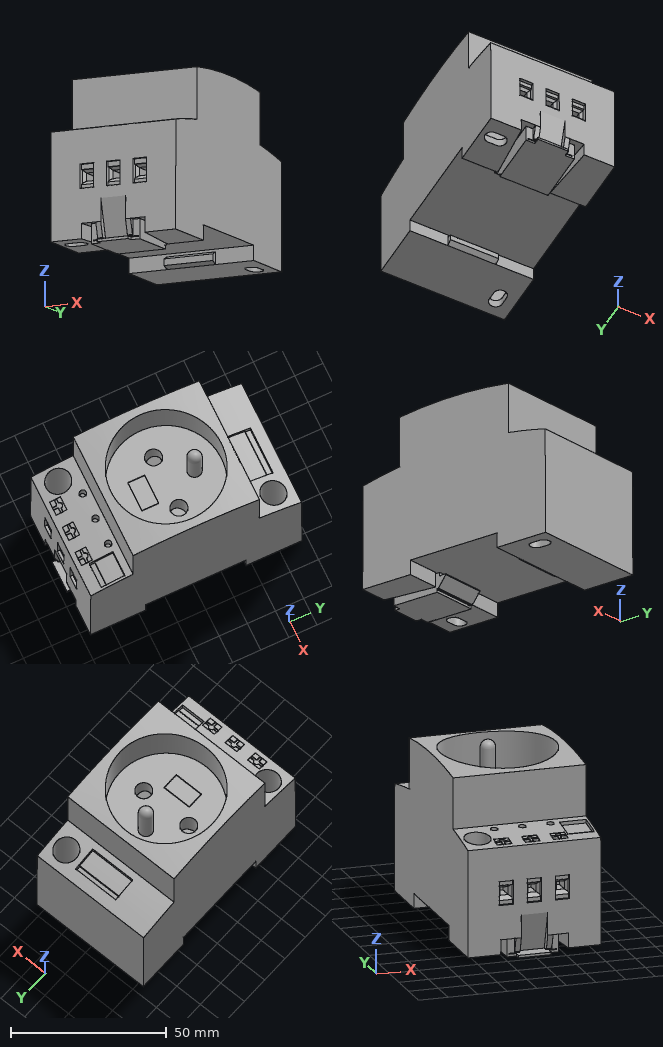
import cadquery as cq
import math


WIDTH = 45.0
HALF_LENGTH = 37.6
HALF_LENGTH_TOP = 37.45
HEAD_HALF_LENGTH = 22.4
CROWN_RADIUS = 169.8
HEAD_APEX = 57.6
SHOULDER_APEX = 40.3

RAIL_FRONT = -17.9
RAIL_REAR = 17.7
RAIL_DEPTH = 5.05
REAR_HOOK_Y = 15.8
REAR_HOOK_ROOT_TOP = 4.15
REAR_HOOK_TIP_TOP = 3.2
REAR_HOOK_TIP_BOTTOM = 1.0
FRONT_HOOK_TIP_Y = -14.35
FRONT_HOOK_NECK_Y = -16.8
FRONT_HOOK_TIP_TOP = 3.9
FRONT_HOOK_TIP_BOTTOM = 3.6
FRONT_HOOK_HEEL_Y = -17.35
FRONT_HOOK_HEEL_Z = -0.3

SOCKET_DIAMETER = 39.1
SOCKET_FLOOR = 42.6
PIN_DIAMETER = 5.0
PIN_TOP = 57.0
PIN_Y = 10.05
CONTACT_DIAMETER = 5.7
CONTACT_X = 9.5
CONTACT_DEPTH = 7.55
SHUTTER_TILT = 30
PLATE_SIZE = (10.6, 6.0)
PLATE_Y = -8.15
PLATE_DEPTH = 0.4

MOUNT_DIAMETER = 8.7
MOUNT_FLANGE = 3
MOUNT_Y = 30.35
MOUNT_FRONT_X = -16.9
MOUNT_REAR_X = 16.2
SLOT_LENGTH = 7.6
SLOT_WIDTH = 4.7

MARKER_INNER = 24.9
MARKER_RIDGE = 28.4
MARKER_STEP = 31.3
MARKER_OUTER = 33.3
MARKER_DEPTH = 1.2
MARKER_GROOVE_DEPTH = 1.9
MARKER_FRONT_X = (12.6, 21.6)
MARKER_REAR_X = (-7.2, 9.7)

TERMINAL_PITCH = 9.5
PROBE_DIAMETER = 2.35
PROBE_Y = -25.1
PROBE_BOTTOM = 34.7
PROBE_BOTTOM_RADIUS = 1.5
SCREW_Y = -33.8
SCREW_SIZE = (4.9, 3.8)
SCREW_RELIEF = 0.1
SCREW_RECESS = 0.6
SCREW_HEAD_Y = -33.35
SCREW_HEAD_RADIUS = 1.0
SCREW_BAND_Y = -33.7
SCREW_BAND_WIDTH = 0.75
SCREW_STEM_WIDTH = 0.8
ENTRY_WIDTH = 4.75
ENTRY_BOTTOM = 16.6
ENTRY_TOP = 24.6
ENTRY_DEPTH = 1.05
FUNNEL_BOTTOM = 18.0
FUNNEL_TOP = 22.95
FUNNEL_START = 1.7
FUNNEL_END = 2.5
BORE_WIDTH = 2.7
BORE_BOTTOM = 19.25
BORE_TOP = 22.0
BORE_DEPTH = 7.55

NOTCH_FRONT_HALF = 11.4
NOTCH_REAR_HALF = 9.5
LATCH_HALF = 8.75
LATCH_FRONT = -35.8
LATCH_BOTTOM = -1.6
LIP_TOP = -0.7
LIP_TIP = -37.9
LIP_HALF = 5.6
NOSE_HALF = 6.3
GAP_HALF = 8.0
GAP_TOP = -0.4
GRIP_HALF = 4.45
GRIP_TOP = 12.8
GRIP_ANGLE = 15


def arc_z(apex, y):
    """Height at y of a crown arc that peaks at apex."""
    return apex - CROWN_RADIUS + math.sqrt(CROWN_RADIUS**2 - y**2)


def prism_x(outline, x_min, x_max):
    """Extrude a closed (y, z) outline along X."""
    return cq.Workplane("YZ").workplane(offset=x_min).polyline(outline).close().extrude(x_max - x_min)


def block(x_range, y_range, z_range):
    """Box between the given limits."""
    size = [high - low for low, high in (x_range, y_range, z_range)]
    corner = (x_range[0], y_range[0], z_range[0])
    return cq.Workplane("XY").box(*size, centered=False).translate(corner)


def upright(x, y, z, diameter, height):
    """Vertical cylinder standing on (x, y, z)."""
    return cq.Workplane("XY").workplane(offset=z).center(x, y).circle(diameter / 2).extrude(height)


def below_shoulder(depth):
    """Cylinder along X that lies the given depth under the shoulder surfaces."""
    axis_z = SHOULDER_APEX - CROWN_RADIUS
    axis = cq.Workplane("YZ").workplane(offset=-WIDTH / 2).center(0, axis_z)
    return axis.circle(CROWN_RADIUS - depth).extrude(WIDTH)


def make_housing():
    """Side profile with arched shoulders, raised head and rail recess, extruded across the width."""
    edge_z = arc_z(SHOULDER_APEX, HALF_LENGTH_TOP)
    inner_z = arc_z(SHOULDER_APEX, HEAD_HALF_LENGTH)
    head_z = arc_z(HEAD_APEX, HEAD_HALF_LENGTH)
    middle_y = (HALF_LENGTH_TOP + HEAD_HALF_LENGTH) / 2
    middle_z = arc_z(SHOULDER_APEX, middle_y)
    return (
        cq.Workplane("YZ")
        .workplane(offset=-WIDTH / 2)
        .moveTo(-HALF_LENGTH, 0)
        .lineTo(-HALF_LENGTH_TOP, edge_z)
        .threePointArc((-middle_y, middle_z), (-HEAD_HALF_LENGTH, inner_z))
        .lineTo(-HEAD_HALF_LENGTH, head_z)
        .threePointArc((0, HEAD_APEX), (HEAD_HALF_LENGTH, head_z))
        .lineTo(HEAD_HALF_LENGTH, inner_z)
        .threePointArc((middle_y, middle_z), (HALF_LENGTH_TOP, edge_z))
        .lineTo(HALF_LENGTH, 0)
        .lineTo(RAIL_REAR, 0)
        .lineTo(RAIL_REAR, RAIL_DEPTH)
        .lineTo(RAIL_FRONT, RAIL_DEPTH)
        .lineTo(RAIL_FRONT, 0)
        .close()
        .extrude(WIDTH)
    )


def cut_socket(body):
    """Round socket well with contact holes, a rectangular plate recess and the earth pin."""
    body = body.cut(upright(0, 0, SOCKET_FLOOR, SOCKET_DIAMETER, HEAD_APEX))
    for side in (-1, 1):
        hole = upright(side * CONTACT_X, 0, 0, CONTACT_DIAMETER, SOCKET_FLOOR)
        shutter_z = SOCKET_FLOOR - CONTACT_DEPTH
        shutter = cq.Workplane("XY").box(WIDTH, WIDTH, SOCKET_FLOOR, centered=(True, True, False))
        shutter = shutter.rotate((0, 0, 0), (1, 0, 0), -side * SHUTTER_TILT).translate((0, 0, shutter_z))
        body = body.cut(hole.intersect(shutter))
    plate = cq.Workplane("XY").workplane(offset=SOCKET_FLOOR).center(0, PLATE_Y).rect(*PLATE_SIZE)
    body = body.cut(plate.extrude(-PLATE_DEPTH))
    pin_radius = PIN_DIAMETER / 2
    shank_top = PIN_TOP - pin_radius
    shank = upright(0, PIN_Y, SOCKET_FLOOR, PIN_DIAMETER, shank_top - SOCKET_FLOOR)
    tip = cq.Workplane("XY").sphere(pin_radius).translate((0, PIN_Y, shank_top))
    return body.union(shank.union(tip))


def cut_mounting_hole(body, x, y, slot_angle):
    """Deep counterbore over a slot through the flange that is left at the underside."""
    body = body.cut(upright(x, y, MOUNT_FLANGE, MOUNT_DIAMETER, HEAD_APEX))
    slot = cq.Workplane("XY").center(x, y).slot2D(SLOT_LENGTH, SLOT_WIDTH, slot_angle)
    return body.cut(slot.extrude(MOUNT_FLANGE))


def marker_window(end, x_range):
    """Label pocket in the rear (end = 1) or front (end = -1) shoulder, with a groove at its outer edge."""
    outline = [(end * MARKER_INNER, HEAD_APEX)]
    for y in (MARKER_INNER, MARKER_RIDGE, MARKER_STEP):
        outline.append((end * y, arc_z(SHOULDER_APEX, y) - MARKER_DEPTH))
    for y in (MARKER_STEP, MARKER_OUTER):
        outline.append((end * y, arc_z(SHOULDER_APEX, y) - MARKER_GROOVE_DEPTH))
    outline.append((end * MARKER_OUTER, HEAD_APEX))
    return prism_x(outline, *x_range)


def probe_hole(x):
    """Test-probe hole that ends on a trough running along Y."""
    hole = upright(x, PROBE_Y, 0, PROBE_DIAMETER, SHOULDER_APEX)
    axis_z = PROBE_BOTTOM + PROBE_BOTTOM_RADIUS
    trough = cq.Workplane("XZ").center(x, axis_z).circle(PROBE_BOTTOM_RADIUS).extrude(HALF_LENGTH)
    above = block((x - PROBE_DIAMETER, x + PROBE_DIAMETER), (-HALF_LENGTH, 0), (axis_z, SHOULDER_APEX))
    return hole.intersect(trough.union(above))


def screw_window(x):
    """Shallow window with a deeper figure in it: a round screw head, a cross band and a stem."""
    width, length = SCREW_SIZE
    front = SCREW_Y - length / 2
    sides = (x - width / 2, x + width / 2)
    z_range = (0, SHOULDER_APEX)
    window = block(sides, (front, front + length), z_range).cut(below_shoulder(SCREW_RELIEF))
    band_sides = (SCREW_BAND_Y - SCREW_BAND_WIDTH / 2, SCREW_BAND_Y + SCREW_BAND_WIDTH / 2)
    stem_sides = (x - SCREW_STEM_WIDTH / 2, x + SCREW_STEM_WIDTH / 2)
    figure = (
        upright(x, SCREW_HEAD_Y, 0, 2 * SCREW_HEAD_RADIUS, SHOULDER_APEX)
        .union(block(sides, band_sides, z_range))
        .union(block(stem_sides, (front, SCREW_BAND_Y), z_range))
        .cut(below_shoulder(SCREW_RECESS))
    )
    return window.union(figure)


def wire_entry(x):
    """Stepped rectangular entry in the front end, narrowing through a funnel to a square bore."""
    front = -HALF_LENGTH
    half = ENTRY_WIDTH / 2
    step_y = front + ENTRY_DEPTH
    start_y = front + FUNNEL_START
    end_y = front + FUNNEL_END
    floor_slope = (BORE_BOTTOM - FUNNEL_BOTTOM) / (FUNNEL_END - ENTRY_DEPTH)
    ramp_top = FUNNEL_BOTTOM + floor_slope * (FUNNEL_START - ENTRY_DEPTH)
    entry = block((x - half, x + half), (front, step_y), (ENTRY_BOTTOM, ENTRY_TOP))
    ramp = prism_x(
        [(step_y, FUNNEL_BOTTOM), (start_y, ramp_top), (start_y, FUNNEL_TOP), (step_y, FUNNEL_TOP)],
        x - half,
        x + half,
    )
    bore_z = (BORE_BOTTOM + BORE_TOP) / 2
    bore_height = BORE_TOP - BORE_BOTTOM
    funnel = (
        cq.Workplane("XZ", origin=(x, start_y, (ramp_top + FUNNEL_TOP) / 2))
        .rect(ENTRY_WIDTH, FUNNEL_TOP - ramp_top)
        .workplane(offset=start_y - end_y)
        .center(0, bore_z - (ramp_top + FUNNEL_TOP) / 2)
        .rect(BORE_WIDTH, bore_height)
        .loft(ruled=True)
    )
    bore_sides = (x - BORE_WIDTH / 2, x + BORE_WIDTH / 2)
    bore = block(bore_sides, (end_y, front + BORE_DEPTH), (BORE_BOTTOM, BORE_TOP))
    return entry.union(ramp).union(funnel).union(bore).clean()


def grip_wedge(half_width, front, top):
    """Cutter under a face that starts at (front, top) and leans inwards going down to the lip."""
    height = top - LIP_TOP
    depth = height * math.tan(math.radians(GRIP_ANGLE))
    outline = [(front, top), (front + depth, LIP_TOP), (LIP_TIP, LIP_TOP), (LIP_TIP, top)]
    return prism_x(outline, -half_width, half_width)


def make_latch():
    """Slide with the front rail hook, a nose at its front end and a pull lip below the nose."""
    slide = block((-LATCH_HALF, LATCH_HALF), (LATCH_FRONT, RAIL_FRONT), (LATCH_BOTTOM, RAIL_DEPTH))
    hook = prism_x(
        [
            (RAIL_FRONT, RAIL_DEPTH),
            (FRONT_HOOK_NECK_Y, RAIL_DEPTH),
            (FRONT_HOOK_NECK_Y, FRONT_HOOK_TIP_TOP),
            (FRONT_HOOK_TIP_Y, FRONT_HOOK_TIP_TOP),
            (FRONT_HOOK_TIP_Y, FRONT_HOOK_TIP_BOTTOM),
            (FRONT_HOOK_HEEL_Y, FRONT_HOOK_HEEL_Z),
            (RAIL_FRONT, FRONT_HOOK_HEEL_Z),
        ],
        -LATCH_HALF,
        LATCH_HALF,
    )
    nose = block((-NOSE_HALF, NOSE_HALF), (-HALF_LENGTH, LATCH_FRONT), (0, RAIL_DEPTH))
    lip = block((-LIP_HALF, LIP_HALF), (LIP_TIP, LATCH_FRONT), (LATCH_BOTTOM, LIP_TOP))
    gap = block((-GAP_HALF, GAP_HALF), (LATCH_FRONT, RAIL_FRONT), (LIP_TOP, GAP_TOP))
    return slide.union(nose).union(lip).cut(gap).union(hook)


def latch_notch():
    """Opening for the latch, narrowing from the front end to the rail recess."""
    outline = [
        (-NOTCH_FRONT_HALF, -HALF_LENGTH),
        (NOTCH_FRONT_HALF, -HALF_LENGTH),
        (NOTCH_REAR_HALF, RAIL_FRONT),
        (-NOTCH_REAR_HALF, RAIL_FRONT),
    ]
    return cq.Workplane("XY").polyline(outline).close().extrude(RAIL_DEPTH)


def rear_hook():
    """Fixed hook on the rear wall of the rail recess."""
    outline = [
        (RAIL_REAR, REAR_HOOK_ROOT_TOP),
        (REAR_HOOK_Y, REAR_HOOK_TIP_TOP),
        (REAR_HOOK_Y, REAR_HOOK_TIP_BOTTOM),
        (RAIL_REAR, 0),
    ]
    return prism_x(outline, -LATCH_HALF, LATCH_HALF)


body = cut_socket(make_housing())
body = cut_mounting_hole(body, MOUNT_FRONT_X, -MOUNT_Y, 0)
body = cut_mounting_hole(body, MOUNT_REAR_X, MOUNT_Y, 90)
body = body.cut(marker_window(-1, MARKER_FRONT_X))
body = body.cut(marker_window(1, MARKER_REAR_X))
for position in (-1, 0, 1):
    terminal_x = position * TERMINAL_PITCH
    body = body.cut(probe_hole(terminal_x))
    body = body.cut(screw_window(terminal_x))
    body = body.cut(wire_entry(terminal_x))
body = body.cut(latch_notch()).union(make_latch()).union(rear_hook())
body = body.cut(grip_wedge(GRIP_HALF, -HALF_LENGTH, GRIP_TOP))
result = body.cut(grip_wedge(NOSE_HALF, -HALF_LENGTH, RAIL_DEPTH))